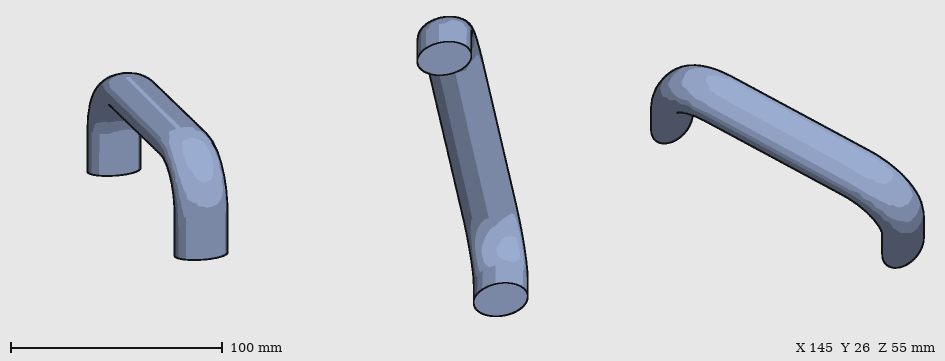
import cadquery as cq

length = 145.0
depth = 26.0
height = 55.0

bar_thickness = 17.0
leg_length = 21.0
bend_radius = height - leg_length - bar_thickness / 2

leg_x = (length - bar_thickness) / 2
grip_z = height - bar_thickness / 2
grip_half = leg_x - bend_radius

centre_line = (
    cq.Workplane("XZ")
    .moveTo(-leg_x, 0)
    .lineTo(-leg_x, leg_length)
    .tangentArcPoint((-grip_half, grip_z), relative=False)
    .lineTo(grip_half, grip_z)
    .tangentArcPoint((leg_x, leg_length), relative=False)
    .lineTo(leg_x, 0)
)

result = (
    cq.Workplane("XY")
    .center(-leg_x, 0)
    .ellipse(bar_thickness / 2, depth / 2)
    .sweep(centre_line)
)